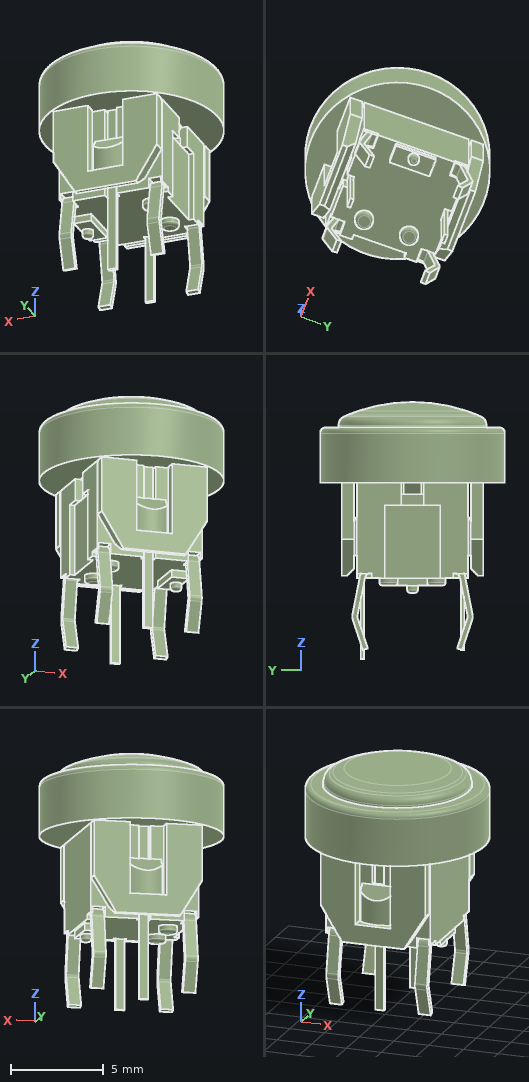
import cadquery as cq
import math


total_height = 13.9

bezel_radius = 10.0 / 2
bezel_bottom = 5.14
bezel_height = 3.0
bezel_top = bezel_bottom + bezel_height
bezel_fillet = 0.3
bezel_bore_radius = 8.1 / 2
bezel_gap_depth = 1.0
button_radius = 8.0 / 2
button_edge_height = 0.13
button_edge_radius = 0.5
crown_bevel_outer = 3.7
crown_bevel_radius = 7.0 / 2
crown_bevel_height = 0.68
dome_radius = 5.8 / 2
dome_base_height = 0.9
dome_top_height = 1.38

housing_width = 6.02
half_width = housing_width / 2

plate_gap = 0.14
plate_thickness = 0.68
plate_bottom = 0.13
plate_corner_width = 1.22
plate_corner_top = 2.1
plate_inner_chamfer = 0.39
window_width = 2.03
window_bottom = 1.21

latch_radius = 3.7 / 2
latch_width = 1.83
latch_reach = 0.5
latch_top = 3.32
latch_front_top = 2.59

groove_width = 0.68
pin_width = 0.5
pin_thickness = 0.2
pin_outer_face = 2.81
pin_inner_face = pin_outer_face - pin_thickness
front_pin_bottom = -3.89
rear_pin_bottom = bezel_top + dome_top_height - total_height

recess_width = 3.02
recess_top = 3.93
recess_depth = 0.28
slot_width = 1.21
slot_depth = 0.42
catch_bottom = 4.52
catch_width = 0.95
catch_pocket_depth = 0.7
catch_reach = 0.4

leg_width = 0.7
leg_centre_x = 2.56
leg_thickness = 0.29
leg_root_y = 2.21
leg_root_top = 0.55
leg_shoulder_y = 2.75
leg_knee = (3.28, -2.11)
leg_tip = (2.68, -3.89)
leg_bend_radius = 0.58
leg_notch_height = 0.24

foot_radius = 1.0 / 2
foot_height = 0.4
foot_x = -1.71
foot_y = 1.29
foot_fillet = 0.17
bar_inner_x = 1.89
bar_length_x = 1.0
bar_width = 2.31
peg_radius = 0.6 / 2
peg_x = 2.55


def box(x_range, y_range, z_range):
    """Box between two limits along each axis."""
    size = [high - low for low, high in (x_range, y_range, z_range)]
    corner = (x_range[0], y_range[0], z_range[0])
    return cq.Workplane("XY").box(*size, centered=False).translate(corner)


def front_and_rear(shape):
    """The shape together with its mirror image across the XZ plane."""
    return shape.union(shape.mirror("XZ"))


def make_bezel():
    bezel = cq.Workplane("XY").workplane(offset=bezel_bottom).circle(bezel_radius).extrude(bezel_height)
    bezel = bezel.faces(">Z").edges().fillet(bezel_fillet)
    bore = (
        cq.Workplane("XY")
        .workplane(offset=bezel_top - bezel_gap_depth)
        .circle(bezel_bore_radius)
        .extrude(bezel_gap_depth)
    )
    return bezel.cut(bore)


def make_button():
    """Button revolved from a half profile with a rounded edge and a domed crown."""
    edge_z = bezel_top + button_edge_height
    edge_centre_r = button_radius - button_edge_radius
    end_angle = math.acos((crown_bevel_outer - edge_centre_r) / button_edge_radius)

    def edge_point(angle):
        return (
            edge_centre_r + button_edge_radius * math.cos(angle),
            edge_z + button_edge_radius * math.sin(angle),
        )

    apex_z = bezel_top + dome_top_height
    dome_base_z = bezel_top + dome_base_height
    dome_rise = apex_z - dome_base_z
    sphere_radius = (dome_radius**2 + dome_rise**2) / (2 * dome_rise)
    dome_mid_r = dome_radius / 2
    dome_mid_z = apex_z - sphere_radius + math.sqrt(sphere_radius**2 - dome_mid_r**2)
    return (
        cq.Workplane("XZ")
        .moveTo(0, bezel_top - bezel_gap_depth)
        .lineTo(button_radius, bezel_top - bezel_gap_depth)
        .lineTo(button_radius, edge_z)
        .threePointArc(edge_point(end_angle / 2), edge_point(end_angle))
        .lineTo(crown_bevel_radius, bezel_top + crown_bevel_height)
        .lineTo(dome_radius, dome_base_z)
        .threePointArc((dome_mid_r, dome_mid_z), (0, apex_z))
        .close()
        .revolve(360, (0, 0, 0), (0, 1, 0))
    )


def make_plates():
    """Guard plates with cut lower corners and a window running up to the bezel."""
    inner_y = -half_width - plate_gap
    outer_y = inner_y - plate_thickness
    bottom_half = half_width - plate_corner_width
    plate = (
        cq.Workplane("XZ", origin=(0, inner_y, 0))
        .polyline([
            (-bottom_half, plate_bottom),
            (bottom_half, plate_bottom),
            (half_width, plate_corner_top),
            (half_width, bezel_bottom),
            (-half_width, bezel_bottom),
            (-half_width, plate_corner_top),
        ])
        .close()
        .extrude(plate_thickness)
    )
    chamfer_wedge = (
        cq.Workplane("YZ")
        .polyline([
            (inner_y, plate_bottom),
            (inner_y - plate_inner_chamfer, plate_bottom),
            (inner_y, plate_bottom + plate_inner_chamfer),
        ])
        .close()
        .extrude(half_width, both=True)
    )
    window = box(
        (-window_width / 2, window_width / 2), (outer_y, inner_y), (window_bottom, bezel_bottom)
    )
    return front_and_rear(plate.cut(chamfer_wedge).cut(window))


def make_latches():
    """Convex latches whose tops slope down and outward from the housing face."""
    front_y = -half_width - latch_reach
    barrel = (
        cq.Workplane("XY", origin=(0, front_y + latch_radius, window_bottom))
        .circle(latch_radius)
        .extrude(latch_top - window_bottom)
    )
    side_outline = (
        cq.Workplane("YZ")
        .polyline([
            (-pin_inner_face, window_bottom),
            (front_y, window_bottom),
            (front_y, latch_front_top),
            (-half_width, latch_top),
            (-pin_inner_face, latch_top),
        ])
        .close()
        .extrude(latch_width / 2, both=True)
    )
    return front_and_rear(barrel.intersect(side_outline))


def make_pins():
    pins = cq.Workplane("XY")
    half = pin_width / 2
    front = box((-half, half), (-pin_outer_face, -pin_inner_face), (front_pin_bottom, bezel_bottom))
    rear = box((-half, half), (pin_inner_face, pin_outer_face), (rear_pin_bottom, bezel_bottom))
    return pins.union(front).union(rear)


def make_catch():
    """Catch on the -X side with an underside that slopes outward as it rises."""
    floor_x = -half_width + catch_pocket_depth
    return (
        cq.Workplane("XZ")
        .polyline([
            (floor_x, catch_bottom),
            (floor_x, bezel_bottom),
            (floor_x - catch_reach, bezel_bottom),
        ])
        .close()
        .extrude(catch_width / 2, both=True)
    )


def make_housing():
    housing = box((-half_width, half_width), (-half_width, half_width), (0, bezel_bottom))

    groove = box(
        (-groove_width / 2, groove_width / 2), (-half_width, -pin_inner_face), (0, bezel_bottom)
    )
    housing = housing.cut(front_and_rear(groove))

    side_cuts = [
        (recess_width, recess_depth, 0, recess_top),
        (slot_width, slot_depth, recess_top, catch_bottom),
        (slot_width, catch_pocket_depth, catch_bottom, bezel_bottom),
    ]
    for width, depth, bottom, top in side_cuts:
        side_cut = box((-half_width, -half_width + depth), (-width / 2, width / 2), (bottom, top))
        housing = housing.cut(side_cut)
    return housing.union(make_catch())


def make_leg_pocket():
    """Pocket around the root of the front +X leg, with a low notch through the side wall."""
    inner_x = leg_centre_x - leg_width / 2
    outer_x = leg_centre_x + leg_width / 2
    pocket = box((inner_x, outer_x), (-half_width, -leg_root_y), (0, leg_root_top))
    notch = box((outer_x, half_width), (-half_width, -leg_root_y), (0, leg_notch_height))
    return pocket.union(notch)


def mitre_offset(before, corner, after):
    """Inside corner one leg thickness in from an outside corner of the leg profile."""
    def inward_normal(start, end):
        length = math.dist(start, end)
        return ((end[1] - start[1]) / length, (start[0] - end[0]) / length)

    n1 = inward_normal(before, corner)
    n2 = inward_normal(corner, after)
    scale = leg_thickness / (1 + n1[0] * n2[0] + n1[1] * n2[1])
    return (corner[0] + scale * (n1[0] + n2[0]), corner[1] + scale * (n1[1] + n2[1]))


def make_leg():
    """Front +X leg: horizontal root, outward slope to the knee, inward slope to the tip."""
    root = (leg_root_y, leg_root_top)
    shoulder = (leg_shoulder_y, leg_root_top)
    inner_root = (leg_root_y, leg_root_top - leg_thickness)
    inner_shoulder = mitre_offset(root, shoulder, leg_knee)
    inner_knee = mitre_offset(shoulder, leg_knee, leg_tip)
    beyond_tip = (2 * leg_tip[0] - leg_knee[0], 2 * leg_tip[1] - leg_knee[1])
    inner_tip = mitre_offset(leg_knee, leg_tip, beyond_tip)
    outline = [root, shoulder, leg_knee, leg_tip, inner_tip, inner_knee, inner_shoulder, inner_root]
    leg = cq.Workplane("YZ").polyline(outline).close().extrude(leg_width)

    def bend_edge(point):
        return cq.selectors.NearestToPointSelector((leg_width / 2, *point))

    for point in (shoulder, leg_knee):
        leg = leg.edges("|X").edges(bend_edge(point)).fillet(leg_bend_radius)
    for point in (inner_shoulder, inner_knee):
        leg = leg.edges("|X").edges(bend_edge(point)).fillet(leg_bend_radius - leg_thickness)
    return leg.mirror("XZ").translate((leg_centre_x - leg_width / 2, 0, 0))


def on_four_corners(shape):
    shape = front_and_rear(shape)
    return shape.union(shape.mirror("YZ"))


def make_stud(x, y, top, radius):
    """Short round stud pointing down, rounded at its lower rim."""
    stud = cq.Workplane("XY", origin=(x, y, top)).circle(radius).extrude(-foot_height)
    return stud.faces("<Z").edges().fillet(foot_fillet)


def make_underside():
    underside = box(
        (bar_inner_x, bar_inner_x + bar_length_x), (-bar_width / 2, bar_width / 2), (-foot_height, 0)
    )
    for y in (-foot_y, foot_y):
        underside = underside.union(make_stud(foot_x, y, 0, foot_radius))
    return underside.union(make_stud(peg_x, 0, -foot_height, peg_radius))


housing = make_housing().cut(on_four_corners(make_leg_pocket()))
result = (
    make_bezel()
    .union(make_button())
    .union(make_plates())
    .union(housing)
    .union(make_latches())
    .union(make_pins())
    .union(on_four_corners(make_leg()))
    .union(make_underside())
)